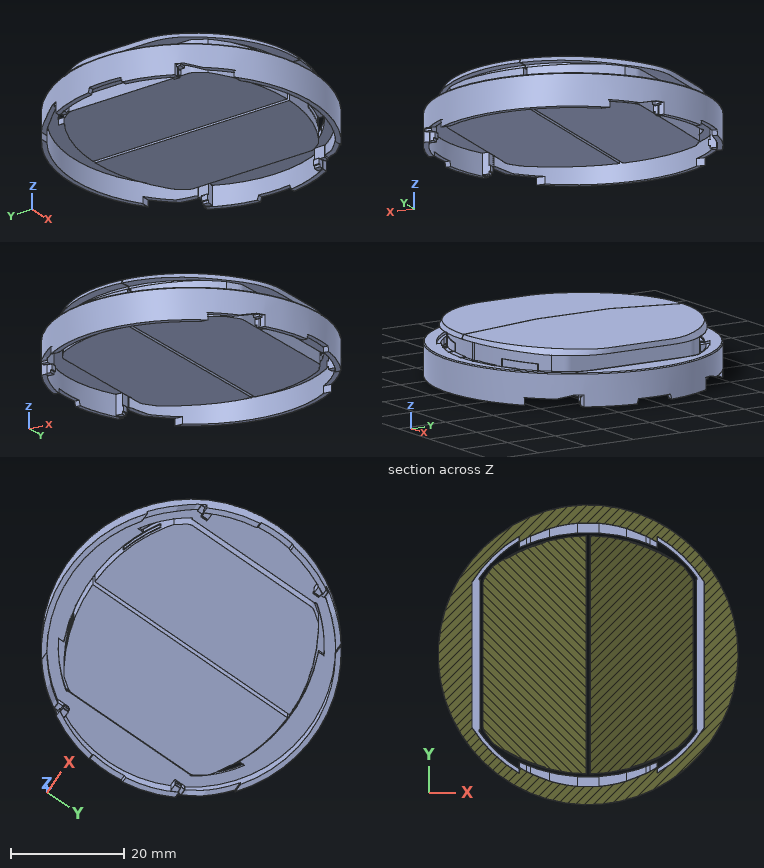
import cadquery as cq
import math

ring_radius = 26.5
ring_wall = 1.0
ring_height = 6.18
rim_chamfer = 0.2
flat_radius = 22.5
flat_height = 5.75
plate_bottom = 4.2
cavity_radius = ring_radius - ring_wall

opening_half_width = 20.5
opening_end_radius = 23.3
opening_corner_radius = 24.2
corner_start_x = 12.2
ledge_height = 5.45
ledge_clearance = 0.5
ledge_corner_radius = 23.5
ledge_corner_half_width = 19.2
step_rise = 0.1
step_spans = [(1.9, 6.8), (10.2, 10.9)]

notch_near_y = 12.9
notch_far_y = 20.9
notch_low = 1.4
notch_high = 2.2
slope_near_y = 14.3
slope_far_y = 16.9
mid_notch_height = 0.95
mid_notch_top = 3.35
mid_notch_base = 3.65

catch_inner_x = 21.35
catch_outer_x = 22.6
catch_length = 1.4
catch_setback = 0.2
catch_bottom = 0.2
lug_depth = 0.3
lug_low = 0.7
lug_high = 1.8
lug_overhang = 0.8

support_half_width = 18.6
support_half_length = 21.05
support_end_radius = 29.0
support_side_y = 13.27
support_side_fillet = 2.0
support_corner = (16.9, 15.6)
support_arc_x = 15.7
support_gap = 0.65
support_bottom = notch_high
support_top = 9.08
window_near_x = 7.55
window_far_x = 14.65
window_top = 6.75
window_depth = 0.15

cap_apex = 11.18
cap_half_width = 21.88
cap_top_radius = 23.15
cap_base_radius = 23.85
cap_top_level = 10.13
cap_base_level = 8.75
cap_corner_radius = 12.0
cap_gap = 0.1
dome_radius_x = 180.0
dome_radius_y = 255.0
hollow_apex = 10.1
hollow_radius_x = 150.0
hollow_radius_y = 368.0

SIDES = (-1, 1)
REACH = 2 * ring_radius


def box(x0, x1, y0, y1, z0, z1):
    """Box between two opposite corners, given in any order."""
    return (
        cq.Workplane("XY")
        .box(abs(x1 - x0), abs(y1 - y0), abs(z1 - z0))
        .translate(((x0 + x1) / 2, (y0 + y1) / 2, (z0 + z1) / 2))
    )


def disc(radius, z0, z1):
    return cq.Workplane("XY", origin=(0, 0, z0)).circle(radius).extrude(z1 - z0)


def support_end_y(x):
    """Distance of the support's curved end from the X axis."""
    return support_half_length - support_end_radius + math.sqrt(support_end_radius**2 - x**2)


def support_block(z0, z1, clearance=0.0):
    """Block with the common outline of both supports, grown by a clearance."""
    corner_x, corner_y = support_corner
    arc_y = support_end_y(support_arc_x)
    outline = (
        cq.Workplane("XY", origin=(0, 0, z0))
        .moveTo(support_half_width, -support_side_y)
        .lineTo(support_half_width, support_side_y)
        .lineTo(corner_x, corner_y)
        .lineTo(support_arc_x, arc_y)
        .threePointArc((0, support_half_length), (-support_arc_x, arc_y))
        .lineTo(-corner_x, corner_y)
        .lineTo(-support_half_width, support_side_y)
        .lineTo(-support_half_width, -support_side_y)
        .lineTo(-corner_x, -corner_y)
        .lineTo(-support_arc_x, -arc_y)
        .threePointArc((0, -support_half_length), (support_arc_x, -arc_y))
        .lineTo(corner_x, -corner_y)
        .close()
    )
    if clearance:
        outline = outline.offset2D(clearance, "intersection")
    block = outline.extrude(z1 - z0)
    return block.edges("|Z and (<X or >X)").fillet(support_side_fillet)


def ring_shell():
    """Turned ring: outer wall, inward sloping top and a plate across the inside."""
    return (
        cq.Workplane("XZ")
        .polyline([
            (0, plate_bottom),
            (cavity_radius, plate_bottom),
            (cavity_radius, 0),
            (ring_radius, 0),
            (ring_radius, ring_height - rim_chamfer),
            (ring_radius - rim_chamfer, ring_height),
            (flat_radius, flat_height),
            (0, flat_height),
        ])
        .close()
        .revolve(360, (0, 0, 0), (0, 1, 0))
    )


def opening_recess():
    """Recess down to the ledge: flat sides, round ends, wider corners."""
    w = opening_half_width
    recess = disc(opening_end_radius, ledge_height, ring_height)
    corners = disc(opening_corner_radius, ledge_height, ring_height).cut(
        box(-corner_start_x, corner_start_x, -REACH, REACH, 0, ring_height)
    )
    return recess.union(corners).intersect(box(-w, w, -REACH, REACH, 0, ring_height))


def ledge_steps():
    """Low raised lengths of the ledge at both round ends."""
    steps = cq.Workplane("XY")
    top = ledge_height + step_rise
    band = disc(opening_end_radius, plate_bottom, top)
    for x_side in SIDES:
        for y_side in SIDES:
            for near_x, far_x in step_spans:
                span = box(x_side * near_x, x_side * far_x, 0, y_side * REACH, plate_bottom, top)
                steps = steps.union(band.intersect(span))
    return steps


def ledge_hole():
    """Hole with clearance around the supports, enlarged in the corners."""
    w = ledge_corner_half_width
    corners = disc(ledge_corner_radius, 0, ring_height).intersect(
        box(-w, w, -REACH, REACH, 0, ring_height)
    )
    corners = corners.cut(box(-corner_start_x, corner_start_x, -REACH, REACH, 0, ring_height))
    corners = corners.cut(box(-w, w, -support_side_y, support_side_y, 0, ring_height))
    return support_block(0, ring_height, ledge_clearance).union(corners)


def edge_notches():
    """Four side notches with a sloped roof, and a middle notch on each flank."""
    notches = (
        cq.Workplane("YZ")
        .polyline([
            (-mid_notch_base, 0),
            (-mid_notch_top, mid_notch_height),
            (mid_notch_top, mid_notch_height),
            (mid_notch_base, 0),
        ])
        .close()
        .extrude(REACH, both=True)
    )
    for side in SIDES:
        notch = (
            cq.Workplane("YZ")
            .polyline([
                (side * notch_near_y, 0),
                (side * notch_near_y, notch_high),
                (side * slope_near_y, notch_high),
                (side * slope_far_y, notch_low),
                (side * notch_far_y, notch_low),
                (side * notch_far_y, 0),
            ])
            .close()
            .extrude(REACH, both=True)
        )
        notches = notches.union(notch)
    return notches


def catch(x_side, y_side):
    """Post hanging from the plate behind the wall, with a lug on its inner face."""
    y_outer = y_side * (notch_near_y - catch_setback)
    y_inner = y_side * (notch_near_y - catch_length)
    y_lug = y_side * (notch_near_y + lug_overhang)
    inner = x_side * catch_inner_x
    lug_inner = x_side * (catch_inner_x - lug_depth)
    post = box(inner, x_side * catch_outer_x, y_inner, y_outer, catch_bottom, plate_bottom)
    lug = box(inner, lug_inner, y_inner, y_outer, lug_low, lug_high)
    overhang = box(inner, x_side * catch_outer_x, y_outer, y_lug, lug_high, plate_bottom)
    return post.union(lug).union(overhang)


def make_ring():
    ring = ring_shell().cut(opening_recess()).union(ledge_steps())
    ring = ring.cut(ledge_hole())
    ring = ring.cut(edge_notches())
    for x_side in SIDES:
        for y_side in SIDES:
            ring = ring.union(catch(x_side, y_side))
    return ring


def dome(apex, radius_x, radius_y):
    """Solid below a shallow dome that is curved differently along X and Y."""
    half = ring_radius
    depth = half
    drop = radius_x - math.sqrt(radius_x**2 - half**2)
    sweep = 2 * math.degrees(math.asin(half / (radius_y - depth)))
    profile = (
        cq.Workplane("XZ")
        .moveTo(-half, -depth)
        .lineTo(-half, -drop)
        .threePointArc((0, 0), (half, -drop))
        .lineTo(half, -depth)
        .close()
    )
    swept = profile.revolve(sweep, (0, -radius_y, 0), (1, -radius_y, 0))
    centred = swept.rotate((0, 0, -radius_y), (1, 0, -radius_y), -sweep / 2)
    return centred.translate((0, 0, apex))


def cap_outline(sketch, radius):
    """Circle with two flat flanks, joined to them by tangent corner arcs."""
    w = cap_half_width
    centre_x = w - cap_corner_radius
    centre_distance = radius - cap_corner_radius
    centre_y = math.sqrt(centre_distance**2 - centre_x**2)
    join_x = centre_x * radius / centre_distance
    join_y = centre_y * radius / centre_distance
    half_turn = math.atan2(centre_y, centre_x) / 2
    mid_x = centre_x + cap_corner_radius * math.cos(half_turn)
    mid_y = centre_y + cap_corner_radius * math.sin(half_turn)
    return (
        sketch.moveTo(w, -centre_y)
        .lineTo(w, centre_y)
        .threePointArc((mid_x, mid_y), (join_x, join_y))
        .threePointArc((0, radius), (-join_x, join_y))
        .threePointArc((-mid_x, mid_y), (-w, centre_y))
        .lineTo(-w, -centre_y)
        .threePointArc((-mid_x, -mid_y), (-join_x, -join_y))
        .threePointArc((0, -radius), (join_x, -join_y))
        .threePointArc((mid_x, -mid_y), (w, -centre_y))
        .close()
    )


def cap_blank():
    """Block with upright flat flanks and round ends that taper towards the top."""
    taper = (cap_base_radius - cap_top_radius) / (cap_top_level - cap_base_level)
    high_radius = cap_top_radius - taper * (cap_apex - cap_top_level)
    base = cap_outline(cq.Workplane("XY", origin=(0, 0, cap_base_level)), cap_base_radius)
    return cap_outline(base.workplane(offset=cap_apex - cap_base_level), high_radius).loft(ruled=True)


def make_cap(side):
    """Half of the domed cap, hollow below except for a flat seat over the support."""
    seat = support_block(support_top, cap_apex)
    hollow = dome(hollow_apex, hollow_radius_x, hollow_radius_y).cut(seat)
    half = box(side * cap_gap / 2, side * REACH, -REACH, REACH, 0, cap_apex)
    top = dome(cap_apex, dome_radius_x, dome_radius_y)
    return cap_blank().intersect(top).cut(hollow).intersect(half)


def support_windows(side):
    """Shallow windows in both curved ends of one support."""
    core = (
        cq.Workplane("XY", origin=(0, 0, plate_bottom))
        .pushPoints([(0, support_half_length - support_end_radius)])
        .circle(support_end_radius - window_depth)
        .extrude(window_top - plate_bottom)
    )
    window = box(
        side * window_near_x, side * window_far_x, 0, REACH, plate_bottom, window_top
    ).cut(core)
    return window.union(window.mirror("XZ"))


def make_support(side, cap):
    half = box(side * support_gap / 2, side * REACH, -REACH, REACH, 0, cap_apex)
    block = support_block(support_bottom, support_top).intersect(half)
    return block.cut(support_windows(side)).cut(cap)


ring = make_ring()
caps = [make_cap(side) for side in SIDES]
supports = [make_support(side, cap) for side, cap in zip(SIDES, caps)]

result = cq.Compound.makeCompound(
    [ring.val()] + [cap.val() for cap in caps] + [support.val() for support in supports]
)